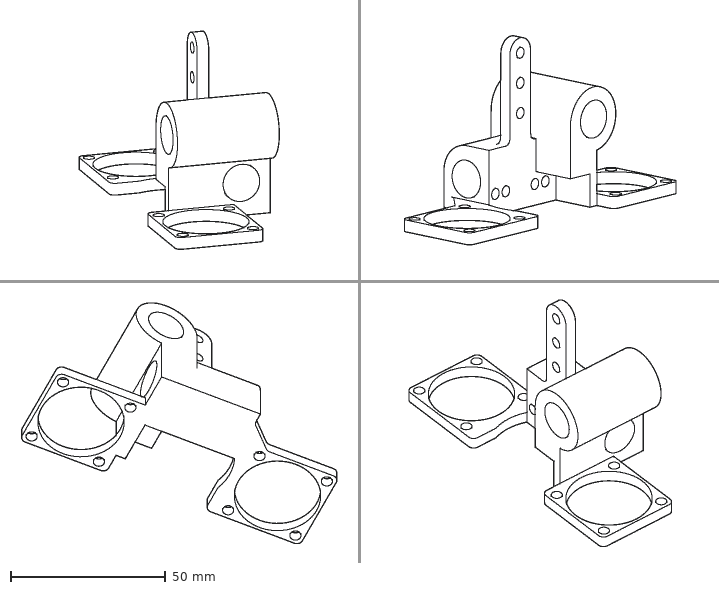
import cadquery as cq
import math

length = 100.2
plate_size = 30.0
plate_thickness = 4.0
corner_radius = 2.0
fan_opening = 28.0
fan_hole_offset = 12.0
small_hole = 3.6

block_left = 33.9
block_right = 69.3
block_front = 22.7
block_back = 42.5
block_top = 22.2
block_round = 10.0
rod_bore = 12.5
block_bore_y = (block_front + block_back) / 2
block_bore_z = 11.0
screw_z = 7.1
screw_xs = [37.0, 42.0, 55.9, 61.0]

tube_front = 7.6
tube_x = 67.7
tube_z = 29.1
tube_radius = 10.7
blend_middle = (59.0, 35.6)
blend_end_x = 63.4
tube_wall_left = 56.5
tube_wall_top = 28.1
step_x = 66.0
step_z = 11.1

arm_x = 48.9
arm_width = 10.0
arm_thickness = 4.0
arm_height = 57.0
arm_hole_pitch = 10.0
arm_hole_count = 3
arm_fillet = 2.0

gusset_back = 38.2
relief_depth = 1.2
relief_front = 9.7


def box(x0, x1, y0, y1, z0, z1):
    return cq.Workplane("XY").box(x1 - x0, y1 - y0, z1 - z0, centered=False).translate((x0, y0, z0))


def cylinder_y(x, z, diameter, y0, y1):
    """Cylinder along Y from y0 to y1."""
    return cq.Workplane("XZ", origin=(x, y0, z)).circle(diameter / 2).extrude(y0 - y1)


def fan_cutter(center_x):
    """Cutter for a fan opening and its four mounting holes."""
    center_y = plate_size / 2
    spacing = 2 * fan_hole_offset
    plane = cq.Workplane("XY", origin=(center_x, center_y, 0))
    opening = plane.circle(fan_opening / 2).extrude(plate_thickness)
    holes = plane.rect(spacing, spacing, forConstruction=True).vertices().circle(small_hole / 2)
    return opening.union(holes.extrude(plate_thickness))


def left_plate():
    """Fan plate with a diagonal gusset and a shallow curved relief beside the block."""
    gusset_left = block_left - (gusset_back - plate_size)
    overlap = block_left + corner_radius
    plate = (
        cq.Workplane("XY")
        .moveTo(0, 0)
        .lineTo(block_left, 0)
        .lineTo(block_left, relief_front)
        .threePointArc(
            (block_left - relief_depth, (relief_front + block_front) / 2),
            (block_left, block_front),
        )
        .lineTo(overlap, block_front)
        .lineTo(overlap, block_back)
        .lineTo(block_left, block_back)
        .lineTo(block_left, gusset_back)
        .lineTo(gusset_left, plate_size)
        .lineTo(0, plate_size)
        .close()
        .extrude(plate_thickness)
    )
    rounded = [(0, 0), (block_left, 0), (0, plate_size), (gusset_left, plate_size), (block_left, gusset_back)]
    for x, y in rounded:
        corner = cq.selectors.NearestToPointSelector((x, y, plate_thickness / 2))
        plate = plate.edges("|Z").edges(corner).fillet(corner_radius)
    return plate.cut(fan_cutter(plate_size / 2))


def right_plate():
    plate = box(block_right, length, 0, plate_size, 0, plate_thickness)
    plate = plate.edges("|Z and (<Y or >X)").fillet(corner_radius)
    wall_contact = box(step_x, block_right, tube_front, plate_size, 0, plate_thickness)
    return plate.union(wall_contact).cut(fan_cutter(length - plate_size / 2))


def block():
    body = box(block_left, block_right, block_front, block_back, 0, block_top)
    return body.edges("|X and >Y and >Z").fillet(block_round)


def arm():
    """Upright strap with a round end, three holes and filleted root."""
    half = arm_width / 2
    root = half + arm_fillet
    bend = arm_fillet * (1 - math.sqrt(0.5))
    shoulder = arm_height - half
    outline = (
        cq.Workplane("XZ", origin=(arm_x, block_front, 0))
        .moveTo(-root, 0)
        .lineTo(-root, block_top)
        .threePointArc((-half - bend, block_top + bend), (-half, block_top + arm_fillet))
        .lineTo(-half, shoulder)
        .threePointArc((0, arm_height), (half, shoulder))
        .lineTo(half, block_top + arm_fillet)
        .threePointArc((half + bend, block_top + bend), (root, block_top))
        .lineTo(root, 0)
        .close()
    )
    strap = outline.extrude(-arm_thickness)
    for index in range(arm_hole_count):
        hole_z = shoulder - index * arm_hole_pitch
        strap = strap.cut(cylinder_y(arm_x, hole_z, small_hole, block_front, block_front + arm_thickness))
    return strap


def tube():
    """Round tube whose left side blends into a wall, undercut at the foot in front of the block."""
    barrel = cylinder_y(tube_x, tube_z, 2 * tube_radius, tube_front, block_back)
    blend_end_z = tube_z + math.sqrt(tube_radius**2 - (blend_end_x - tube_x) ** 2)
    upper_wall = (
        cq.Workplane("XZ", origin=(0, tube_front, 0))
        .moveTo(tube_wall_left, step_z)
        .lineTo(tube_wall_left, tube_wall_top)
        .threePointArc(blend_middle, (blend_end_x, blend_end_z))
        .lineTo(tube_x, tube_z)
        .lineTo(block_right, tube_z)
        .lineTo(block_right, step_z)
        .close()
        .extrude(tube_front - block_back)
    )
    lower_wall = box(step_x, block_right, tube_front, block_back, 0, step_z)
    return barrel.union(upper_wall).union(lower_wall)


result = block().union(arm()).union(tube()).union(left_plate()).union(right_plate())

result = result.cut(cylinder_y(tube_x, tube_z, rod_bore, tube_front, block_back))
block_bore = cq.Workplane("YZ", origin=(block_left, block_bore_y, block_bore_z)).circle(rod_bore / 2)
result = result.cut(block_bore.extrude(block_right - block_left))

for screw_x in screw_xs:
    result = result.cut(cylinder_y(screw_x, screw_z, small_hole, block_front, block_bore_y))